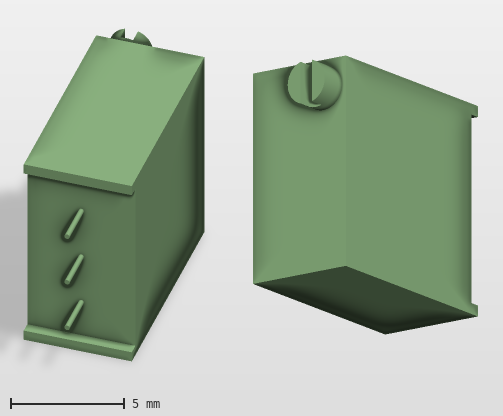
import cadquery as cq

total_length = 12.8
body_width = 5.0
body_height = 9.6

lip_size = 0.5
pin_beyond_lip = 1.5
screw_length = 1.3
body_length = total_length - pin_beyond_lip - screw_length

pin_diameter = 0.24
pin_pitch = 2.5
pin_length = pin_beyond_lip + lip_size

screw_diameter = 2.0
screw_from_side = 1.2
screw_from_top = 1.29
slot_width = 0.6
slot_depth = 0.7

screw_x = screw_from_side - body_width / 2
screw_z = body_height / 2 - screw_from_top


def box_from_front(width, length, height, front_y):
    """Box centred on X and Z that runs toward +Y from front_y."""
    box = cq.Workplane("XY").box(width, length, height, centered=(True, False, True))
    return box.translate((0, front_y, 0))


def rod(diameter, length, x, start_y, z):
    """Round rod that runs toward +Y from start_y."""
    return cq.Workplane("XZ", origin=(x, start_y, z)).circle(diameter / 2).extrude(-length)


def make_body():
    block = box_from_front(body_width, body_length, body_height, 0)
    recess = box_from_front(body_width, lip_size, body_height - 2 * lip_size, 0)
    return block.cut(recess)


def make_screw():
    shank = rod(screw_diameter, screw_length, screw_x, body_length, screw_z)
    slot_start = body_length + screw_length - slot_depth
    slot = box_from_front(slot_width, slot_depth, screw_diameter, slot_start)
    return shank.cut(slot.translate((screw_x, 0, screw_z)))


result = make_body().union(make_screw())
for pin_z in (-pin_pitch, 0, pin_pitch):
    result = result.union(rod(pin_diameter, pin_length, 0, -pin_beyond_lip, pin_z))